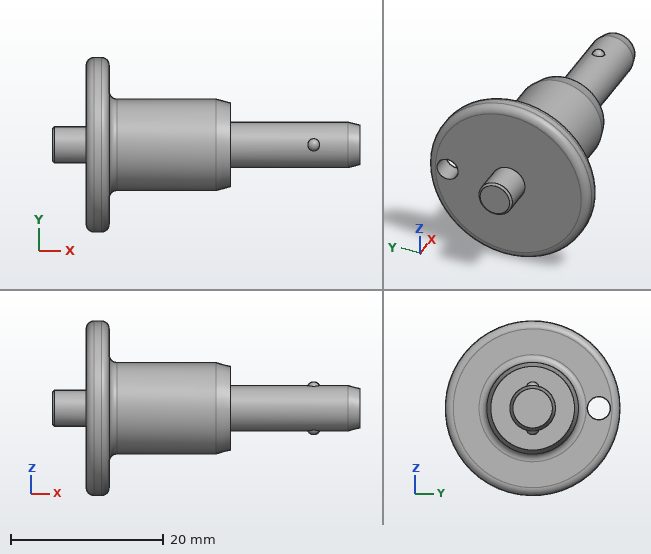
import cadquery as cq

plate_start = 4.45
plate_end = 7.5
barrel_taper_start = 21.5
barrel_end = 23.45
ball_center_x = 34.4
tip_taper_start = 38.92
shank_end = 40.5

plate_radius = 11.5
barrel_radius = 6.05
barrel_end_radius = 5.5
shank_radius = 3.0
tip_radius = 2.6
button_radius = 2.4

button_chamfer = 0.3
rim_fillet = 1.05
neck_fillet = 1.0

lanyard_hole_diameter = 3.0
lanyard_hole_y = 8.7

ball_radius = 0.85
ball_reach = 3.5
ball_center_z = ball_reach - ball_radius


def make_ball(side):
    """Locking ball partly sunk in the shank; side is +1 for +Z, -1 for -Z."""
    return cq.Workplane("XY").sphere(ball_radius).translate((ball_center_x, 0, side * ball_center_z))


def make_pin_profile():
    """Half section of button, plate, barrel and shank, revolved about X."""
    return (
        cq.Workplane("XY")
        .moveTo(0, 0)
        .lineTo(0, button_radius - button_chamfer)
        .lineTo(button_chamfer, button_radius)
        .lineTo(plate_start, button_radius)
        .lineTo(plate_start, plate_radius - rim_fillet)
        .radiusArc((plate_start + rim_fillet, plate_radius), rim_fillet)
        .lineTo(plate_end - rim_fillet, plate_radius)
        .radiusArc((plate_end, plate_radius - rim_fillet), rim_fillet)
        .lineTo(plate_end, barrel_radius + neck_fillet)
        .radiusArc((plate_end + neck_fillet, barrel_radius), -neck_fillet)
        .lineTo(barrel_taper_start, barrel_radius)
        .lineTo(barrel_end, barrel_end_radius)
        .lineTo(barrel_end, shank_radius)
        .lineTo(tip_taper_start, shank_radius)
        .lineTo(shank_end, tip_radius)
        .lineTo(shank_end, 0)
        .close()
    )


def make_lanyard_hole():
    """Cutter that passes through the plate, parallel to X."""
    return (
        cq.Workplane("YZ", origin=(plate_start, lanyard_hole_y, 0))
        .circle(lanyard_hole_diameter / 2)
        .extrude(plate_end - plate_start)
    )


balls = [make_ball(side) for side in (1, -1)]

pin = make_pin_profile().revolve(360, (0, 0, 0), (1, 0, 0)).cut(make_lanyard_hole())
for ball in balls:
    pin = pin.cut(ball)

result = cq.Compound.makeCompound([pin.val(), *[ball.val() for ball in balls]])